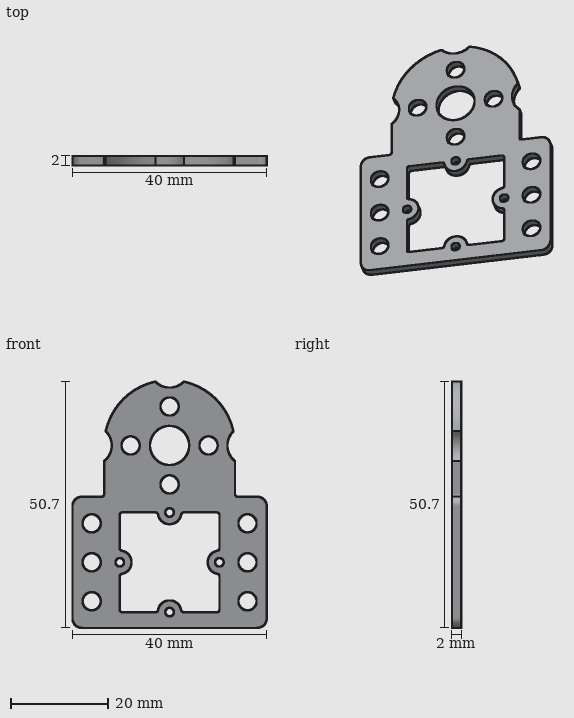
import cadquery as cq

thickness = 2.0
overall_height = 50.65
base_width = 40.0
base_height = 27.0
base_corner_radius = 2.0
inner_corner_radius = 0.5

pitch = 8.0
mount_hole_diameter = 3.7

head_radius = 13.5
head_bore_diameter = pitch
notch_offset = 2 * pitch
notch_radius = 4.1

tip_rise = (head_radius**2 + notch_offset**2 - notch_radius**2) / (2 * notch_offset)
head_z = overall_height - tip_rise

window_z = base_height / 2
window_half = 10.25
lug_radius = 2.45
lug_hole_diameter = 1.7

side_row_x = 2 * pitch


def cross_points(z, distance):
    """Four points at the same distance left, right, below and above (0, z)."""
    return [(-distance, z), (distance, z), (0, z - distance), (0, z + distance)]


def extruded(sketch):
    """Extrude a sketch toward +Y through the plate thickness."""
    return sketch.extrude(-thickness)


def discs(points, diameter):
    """Round bodies through the thickness at the given (x, z) points."""
    return extruded(cq.Workplane("XZ").pushPoints(points).circle(diameter / 2))


def block(width, bottom, top):
    """Rectangular body centred on X = 0 between two heights."""
    height = top - bottom
    return extruded(cq.Workplane("XZ").center(0, bottom + height / 2).rect(width, height))


def make_outline():
    base = block(base_width, 0, base_height).edges("|Y").fillet(base_corner_radius)
    neck = block(2 * head_radius, window_z, head_z)
    plate = base.union(neck).union(discs([(0, head_z)], 2 * head_radius)).clean()

    corner_box = cq.selectors.BoxSelector(
        (-head_radius - 0.5, -0.5, base_height - 0.5),
        (head_radius + 0.5, thickness + 0.5, base_height + 0.5),
    )
    plate = plate.edges("|Y").edges(corner_box).fillet(inner_corner_radius)

    left, right, _, above = cross_points(head_z, notch_offset)
    return plate.cut(discs([left, right, above], 2 * notch_radius))


def make_window():
    window = block(2 * window_half, window_z - window_half, window_z + window_half)
    window = window.cut(discs(cross_points(window_z, window_half), 2 * lug_radius))
    return window.edges("|Y").fillet(inner_corner_radius)


def make_holes():
    side_row = [
        (side * side_row_x, window_z + step * pitch)
        for side in (-1, 1)
        for step in (-1, 0, 1)
    ]
    mount_points = side_row + cross_points(head_z, pitch)
    holes = discs(mount_points, mount_hole_diameter)
    holes = holes.union(discs([(0, head_z)], head_bore_diameter))
    return holes.union(discs(cross_points(window_z, window_half), lug_hole_diameter))


result = make_outline().cut(make_window()).cut(make_holes())